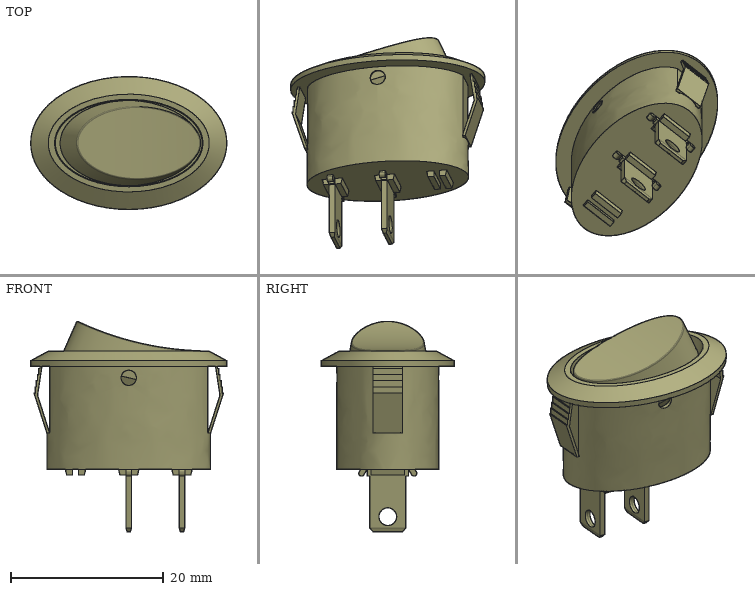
import cadquery as cq
import math


BEZEL_LENGTH = 25.8
BEZEL_WIDTH = 17.5
BEZEL_EDGE_HEIGHT = 0.75
BEZEL_HEIGHT = 2.0
BEZEL_SLOPE_RUN = 2.32
WELL_LENGTH = 19.5
WELL_WIDTH = 11.5
WELL_FLOOR_Z = -1.5
WELL_FLOOR_INSET = 0.1

BODY_LENGTH = 21.5
BODY_WIDTH = 13.45
BODY_HEIGHT = 13.53

CLIP_WIDTH = 3.93
CLIP_FLAT_X = 10.4
CLIP_END_Z = -8.73
CLIP_FOOT_X = 10.78
CLIP_TOP_INNER_X = 11.4
CLIP_ELBOW_X = 12.47
CLIP_ELBOW_Z = -3.5
CLIP_INNER_ELBOW_X = 11.97
CLIP_INNER_ELBOW_Z = -3.8
TOOTH_COUNT = 4
TOOTH_PITCH = 0.81
TOOTH_STEP = 0.155

PIVOT_Z = -1.5
ROCKER_TILT = 13.5
ROCKER_BASE_HEIGHT = 0.3
ROCKER_BASE_LENGTH = 18.7
ROCKER_BASE_WIDTH = 11.2
ROCKER_DRAFT = 10.4
ROCKER_BLANK_HEIGHT = 6.2
ROCKER_RIM_HEIGHT = 5.68
ROCKER_RIM_HALF_LENGTH = 8.36
ROCKER_TOP_RADIUS = 40.0
ROCKER_EDGE_FILLET = 0.12

PIN_HOLE_DIAMETER = 2.0
PIN_RECESS = 0.2
PIN_BEVEL_ANGLE = 22.0

TERMINAL_PITCH = 7.0
TERMINAL_THICKNESS = 0.75
TERMINAL_WIDTH = 4.75
TERMINAL_END_Z = -21.75
TERMINAL_TIP_HEIGHT = 0.5
TERMINAL_TIP_SIDE_CHAMFER = 0.45
TERMINAL_TIP_FACE_CHAMFER = 0.15
TERMINAL_HOLE_DIAMETER = 2.3
TERMINAL_HOLE_Z = -19.75
SHOULDER_WIDTH = 5.45
SHOULDER_HEIGHT = 0.9
TERMINAL_EMBED = 1.0
BARB_WIDTH = 0.75
BARB_ANGLE = 30.0
BARB_TIP_Y = 3.45
BARB_LENGTH = 2.0
BOSS_LENGTH = 2.7
BOSS_END_LENGTH = 2.33
BOSS_WIDTH = 4.46
BOSS_HEIGHT = 0.77

BODY_BOTTOM_Z = -BODY_HEIGHT


def oval_loft(length, width, z_low, z_high, inset):
    """Oval frustum whose top is smaller than its base by `inset` all round."""
    return (
        cq.Workplane("XY", origin=(0, 0, z_low))
        .ellipse(length / 2, width / 2)
        .workplane(offset=z_high - z_low)
        .ellipse(length / 2 - inset, width / 2 - inset)
        .loft(ruled=True, combine=True)
    )


def make_bezel():
    edge = cq.Workplane("XY").ellipse(BEZEL_LENGTH / 2, BEZEL_WIDTH / 2).extrude(BEZEL_EDGE_HEIGHT)
    rim = oval_loft(BEZEL_LENGTH, BEZEL_WIDTH, BEZEL_EDGE_HEIGHT, BEZEL_HEIGHT, BEZEL_SLOPE_RUN)
    return edge.union(rim)


def make_well():
    """Space around the rocker; it opens out slightly from its flat floor."""
    return oval_loft(
        WELL_LENGTH - 2 * WELL_FLOOR_INSET,
        WELL_WIDTH - 2 * WELL_FLOOR_INSET,
        WELL_FLOOR_Z,
        BEZEL_HEIGHT,
        -WELL_FLOOR_INSET,
    )


def make_body():
    body = (
        cq.Workplane("XY", origin=(0, 0, BODY_BOTTOM_Z))
        .ellipse(BODY_LENGTH / 2, BODY_WIDTH / 2)
        .extrude(BODY_HEIGHT)
    )
    for side in (-1, 1):
        flat = cq.Workplane("XY").box(
            BODY_LENGTH, CLIP_WIDTH, -CLIP_END_Z, centered=(True, True, False)
        )
        body = body.cut(flat.translate((side * (CLIP_FLAT_X + BODY_LENGTH / 2), 0, CLIP_END_Z)))
    return body


def make_clip(side):
    """Bent spring leg with a stepped outer face; side is -1 or +1 along X."""
    outline = [
        (CLIP_TOP_INNER_X, 0),
        (CLIP_INNER_ELBOW_X, CLIP_INNER_ELBOW_Z),
        (CLIP_FLAT_X, CLIP_END_Z),
        (CLIP_FOOT_X, CLIP_END_Z),
        (CLIP_ELBOW_X, CLIP_ELBOW_Z),
    ]
    for tooth in range(TOOTH_COUNT):
        x = CLIP_ELBOW_X - (tooth + 1) * TOOTH_STEP
        z = CLIP_ELBOW_Z + tooth * TOOTH_PITCH
        outline += [(x, z), (x, z + TOOTH_PITCH)]
    top_x = CLIP_ELBOW_X - (TOOTH_COUNT + 1) * TOOTH_STEP
    outline += [(top_x, CLIP_ELBOW_Z + TOOTH_COUNT * TOOTH_PITCH), (top_x, 0)]
    return (
        cq.Workplane("XZ")
        .polyline([(side * x, z) for x, z in outline])
        .close()
        .extrude(CLIP_WIDTH / 2, both=True)
    )


def make_rocker():
    inset = (ROCKER_BLANK_HEIGHT - ROCKER_BASE_HEIGHT) * math.tan(math.radians(ROCKER_DRAFT))
    blank = oval_loft(
        ROCKER_BASE_LENGTH, ROCKER_BASE_WIDTH, ROCKER_BASE_HEIGHT, ROCKER_BLANK_HEIGHT, inset
    )
    axis_height = ROCKER_RIM_HEIGHT + math.sqrt(ROCKER_TOP_RADIUS**2 - ROCKER_RIM_HALF_LENGTH**2)
    hollow = (
        cq.Workplane("XZ")
        .center(0, axis_height)
        .circle(ROCKER_TOP_RADIUS)
        .extrude(ROCKER_BASE_WIDTH, both=True)
    )
    rocker = blank.cut(hollow).faces(">Z").edges().fillet(ROCKER_EDGE_FILLET)
    return rocker.rotate((0, 0, 0), (0, 1, 0), ROCKER_TILT).translate((0, 0, PIVOT_Z))


def make_pin_recess(side):
    """Space in front of a pivot pin whose lower half is bevelled; side is -1 or +1 along Y."""
    radius = PIN_HOLE_DIAMETER / 2
    bevel_depth = radius * math.tan(math.radians(PIN_BEVEL_ANGLE))
    wall_y = BODY_WIDTH / 2
    profile = [
        (side * wall_y, radius),
        (side * (wall_y - PIN_RECESS), radius),
        (side * (wall_y - PIN_RECESS), 0),
        (side * (wall_y - PIN_RECESS - bevel_depth), -radius),
        (side * wall_y, -radius),
    ]
    space = cq.Workplane("YZ").polyline(profile).close().extrude(PIN_HOLE_DIAMETER, both=True)
    space = space.rotate((0, 0, 0), (0, 1, 0), ROCKER_TILT)
    bore = cq.Workplane("XZ").circle(radius).extrude(BODY_WIDTH, both=True)
    return space.intersect(bore).translate((0, 0, PIVOT_Z))


def make_boss(x):
    half_top = BOSS_LENGTH / 2
    half_end = BOSS_END_LENGTH / 2
    end_z = BODY_BOTTOM_Z - BOSS_HEIGHT
    return (
        cq.Workplane("XZ")
        .polyline([
            (x - half_top, BODY_BOTTOM_Z),
            (x - half_end, end_z),
            (x + half_end, end_z),
            (x + half_top, BODY_BOTTOM_Z),
        ])
        .close()
        .extrude(BOSS_WIDTH / 2, both=True)
    )


def make_barb(side):
    """Round-ended latch leg splaying outwards below the housing, in the terminal's plane."""
    lean = math.radians(BARB_ANGLE)
    tip_z = BODY_BOTTOM_Z - SHOULDER_HEIGHT + BARB_WIDTH / 2
    straight = BARB_LENGTH - BARB_WIDTH
    middle_y = BARB_TIP_Y - math.sin(lean) * straight / 2
    middle_z = tip_z + math.cos(lean) * straight / 2
    return (
        cq.Workplane("YZ")
        .center(side * middle_y, middle_z)
        .slot2D(BARB_LENGTH, BARB_WIDTH, 90 + side * BARB_ANGLE)
        .extrude(TERMINAL_THICKNESS / 2, both=True)
    )


def make_terminal(x):
    tip_top_z = TERMINAL_END_Z + TERMINAL_TIP_HEIGHT
    blade_top_z = BODY_BOTTOM_Z + TERMINAL_EMBED
    blade = cq.Workplane("XY", origin=(0, 0, tip_top_z)).rect(TERMINAL_THICKNESS, TERMINAL_WIDTH)
    blade = blade.extrude(blade_top_z - tip_top_z)
    tip = (
        cq.Workplane("XY", origin=(0, 0, tip_top_z))
        .rect(TERMINAL_THICKNESS, TERMINAL_WIDTH)
        .workplane(offset=-TERMINAL_TIP_HEIGHT)
        .rect(
            TERMINAL_THICKNESS - 2 * TERMINAL_TIP_FACE_CHAMFER,
            TERMINAL_WIDTH - 2 * TERMINAL_TIP_SIDE_CHAMFER,
        )
        .loft(ruled=True, combine=True)
    )
    shoulder = cq.Workplane("XY", origin=(0, 0, BODY_BOTTOM_Z - SHOULDER_HEIGHT)).rect(
        TERMINAL_THICKNESS, SHOULDER_WIDTH
    )
    shoulder = shoulder.extrude(SHOULDER_HEIGHT + TERMINAL_EMBED)
    hole = (
        cq.Workplane("YZ")
        .center(0, TERMINAL_HOLE_Z)
        .circle(TERMINAL_HOLE_DIAMETER / 2)
        .extrude(TERMINAL_THICKNESS, both=True)
    )
    terminal = blade.union(tip).union(shoulder).cut(hole)
    for side in (-1, 1):
        terminal = terminal.union(make_barb(side))
    return terminal.translate((x, 0, 0))


def make_empty_boss(x):
    """Boss of the unused terminal position, split by its open slot."""
    slot = cq.Workplane("XY").box(TERMINAL_THICKNESS, BODY_WIDTH, 2 * BOSS_HEIGHT)
    return make_boss(x).cut(slot.translate((x, 0, BODY_BOTTOM_Z - BOSS_HEIGHT)))


result = make_bezel().union(make_body()).cut(make_well()).union(make_rocker())
for end in (-1, 1):
    result = result.union(make_clip(end))
    result = result.cut(make_pin_recess(end))
for terminal_x in (0, TERMINAL_PITCH):
    result = result.union(make_boss(terminal_x)).union(make_terminal(terminal_x))
result = result.union(make_empty_boss(-TERMINAL_PITCH))